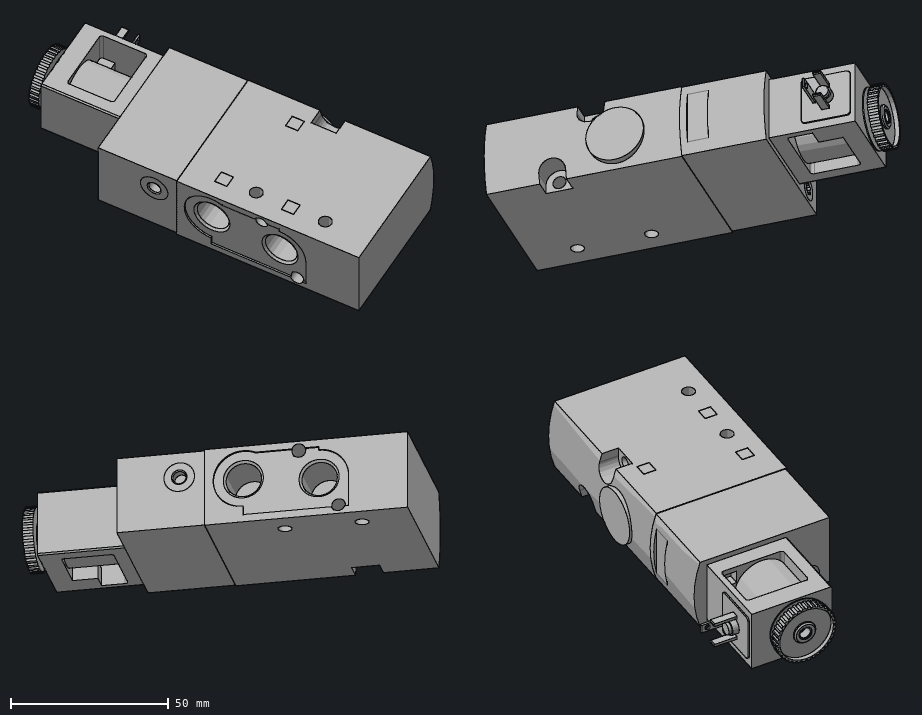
import cadquery as cq
import math


TOTAL_LENGTH = 129.2
KNOB_RIM_END_X = 3.5
SOLENOID_X = 5.3
PILOT_X = 34.5
BODY_X = 63.0

BODY_HEIGHT = 26.5
CROWN_EDGE_Y = 47.7
CROWN_Y = 49.9
PORT_X = (75.5, 100.2)
PORT_Z = (2.0, 0.0)
PORT_DIAMETER = 11.5
PORT_CHAMFER = 0.8
PORT_DEPTH = 15.5
SEAL_RADIUS = 9.7
SEAL_HALF_HEIGHT = 10.7
SEAL_DEPTH = 0.6
MOUNT_DIAMETER = 4.4
MOUNT_HOLES_XZ = ((93.6, 10.1), (106.5, -10.1))
NUT_SLOT_WIDTH = 9.0
NUT_SLOT_FLOOR_Y = 41.7
CROSS_HOLES_X = (87.5, 112.6)
CROSS_HOLES_Y = 8.0
BOSS_DIAMETER = 19.5
BOSS_X = 84.7
BOSS_Z = -1.7
BOSS_ROOT_Y = 45.2
BOSS_Y = 50.6
LABEL_SIZE = 4.4
LABEL_DEPTH = 0.1
LABELS_XY = ((76.0, CROSS_HOLES_Y), (100.1, CROSS_HOLES_Y), (BOSS_X, 39.0))

PILOT_HEIGHT = 26.0
PILOT_FRONT_Y = 0.4
PILOT_SLOT_X = 53.6
PILOT_SLOT_WIDTH = 7.1
PILOT_SLOT_FLOOR_Y = 48.8

BUTTON_X = 54.8
BUTTON_Z = 4.5
BUTTON_DIAMETER = 10.0
BUTTON_LENGTH = 5.2
BUTTON_HOLE_DIAMETER = 4.3
BUTTON_HOLE_DEPTH = 3.2
BUTTON_HOLE_CHAMFER = 0.4

SCREW_Y = 8.1
SCREW_Z = -7.7
SCREW_DIAMETER = 8.0
SCREW_LENGTH = 5.2
SOCKET_DEPTH = 2.0
SOCKET_CORE_DIAMETER = 3.2
SOCKET_LOBES = 6
SOCKET_LOBE_DIAMETER = 0.9
SOCKET_LOBE_OFFSET = 1.74

SOLENOID_FRONT_Y = 15.9
SOLENOID_BACK_Y = 45.2
SOLENOID_HEIGHT = 22.1
SOLENOID_CHAMFER = 0.5
COIL_AXIS_Y = 28.2
COIL_DIAMETER = 19.9
WINDOW_X = (12.1, 29.0)
WINDOW_Y = (20.5, 43.1)
WINDOW_FILLET = 1.0
LEDGE_END_X = 17.3
LEDGE_Y = 39.4
LEDGE_TOP_Z = 0.0
SILL_END_X = 20.4
SILL_Y = 37.5
SILL_TOP_Z = -5.2
POCKET_Y = (37.3, 42.2)
POCKET_Z = (4.5, 9.2)
POCKET_DEPTH = 3.9

PLATE_SIZE = 16.5
PLATE_THICKNESS = 0.5
PLATE_FILLET = 1.3
CONNECTOR_X = 15.1
POST_DIAMETER = 5.3
POST_Y = 48.0
POST_TIP_DIAMETER = 4.3
POST_TIP_Y = 49.2
PIN_WIDTH = 2.6
PIN_THICKNESS = 1.0
PIN_TIP_Y = 54.2
PIN_Z = 4.1
BLADE_X = 19.0
BLADE_WIDTH = 3.1
BLADE_THICKNESS = 0.8
BLADE_TIP_Y = 56.2
BLADE_HOLE_DIAMETER = 1.8
BLADE_HOLE_Y = 53.9
TERMINAL_TIP_CHAMFER = 0.32

KNOB_DIAMETER = 21.6
KNOB_TEETH = 36
KNURL_DIAMETER = 1.0
KNOB_RECESS_DIAMETER = 19.5
KNOB_RECESS_DEPTH = 1.5
KNOB_BOSS_DIAMETER = 7.9
KNOB_BOSS_HEIGHT = 1.0
KNOB_BOSS_CHAMFER = 0.5
KNOB_HOLE_DIAMETER = 3.7
KNOB_HOLE_DEPTH = 3.9
KNOB_MOUTH_DIAMETER = 4.6
KNOB_MOUTH_DEPTH = 0.9
KNOB_BORE_DIAMETER = 1.8
HUB_DIAMETER = 10.8
FLANGE_DIAMETER = 20.8
FLANGE_THICKNESS = 0.4


def block(x_range, y_range, z_range):
    """Box between two limits on each axis."""
    size = [high - low for low, high in (x_range, y_range, z_range)]
    return cq.Workplane("XY").box(*size, centered=False).translate((x_range[0], y_range[0], z_range[0]))


def rod_x(diameter, start, end, y, z):
    """Cylinder along X from start to end."""
    return cq.Workplane("YZ", origin=(start, y, z)).circle(diameter / 2).extrude(end - start)


def rod_y(diameter, start, end, x, z):
    """Cylinder along Y from start to end."""
    return cq.Workplane("XZ", origin=(x, start, z)).circle(diameter / 2).extrude(start - end)


def crowned_block(start, end, front, height):
    """Block with a flat front and a gently arched back."""
    half = height / 2
    return (
        cq.Workplane("YZ", origin=(start, 0, 0))
        .moveTo(front, -half)
        .lineTo(CROWN_EDGE_Y, -half)
        .threePointArc((CROWN_Y, 0), (CROWN_EDGE_Y, half))
        .lineTo(front, half)
        .close()
        .extrude(end - start)
    )


def seal_recess():
    """Shallow gasket recess that wraps round both ports."""
    first_x, second_x = PORT_X
    depth_range = (0, SEAL_DEPTH)
    recess = block((first_x, second_x), depth_range, (-SEAL_HALF_HEIGHT, SEAL_HALF_HEIGHT))
    recess = recess.union(block((second_x, second_x + SEAL_RADIUS), depth_range, (-SEAL_HALF_HEIGHT, 0)))
    for x, z in zip(PORT_X, PORT_Z):
        recess = recess.union(rod_y(2 * SEAL_RADIUS, 0, SEAL_DEPTH, x, z))
    return recess


def port(x, z):
    """Blind port with a chamfered mouth on the recess floor."""
    radius = PORT_DIAMETER / 2
    mouth_radius = radius + PORT_CHAMFER
    return (
        cq.Workplane("XY", origin=(x, 0, z))
        .moveTo(0, SEAL_DEPTH)
        .lineTo(mouth_radius, SEAL_DEPTH)
        .lineTo(radius, SEAL_DEPTH + PORT_CHAMFER)
        .lineTo(radius, PORT_DEPTH)
        .lineTo(0, PORT_DEPTH)
        .close()
        .revolve(360, (0, 0), (0, 1))
    )


def nut_slot(x, z):
    """Round-bottomed slot round the back of a mounting hole, open to the nearer of top and bottom."""
    half_width = NUT_SLOT_WIDTH / 2
    open_side = math.copysign(BODY_HEIGHT / 2, z)
    depth_range = (NUT_SLOT_FLOOR_Y, BOSS_Y)
    walls = block((x - half_width, x + half_width), depth_range, sorted((z, open_side)))
    return walls.union(rod_y(NUT_SLOT_WIDTH, *depth_range, x, z))


def make_valve_body():
    half = BODY_HEIGHT / 2
    body = crowned_block(BODY_X, TOTAL_LENGTH, 0, BODY_HEIGHT)
    body = body.union(rod_y(BOSS_DIAMETER, BOSS_ROOT_Y, BOSS_Y, BOSS_X, BOSS_Z))
    body = body.cut(seal_recess())
    for x, z in zip(PORT_X, PORT_Z):
        body = body.cut(port(x, z))
    for x, z in MOUNT_HOLES_XZ:
        body = body.cut(rod_y(MOUNT_DIAMETER, 0, BOSS_Y, x, z))
        body = body.cut(nut_slot(x, z))
    for x in CROSS_HOLES_X:
        hole = cq.Workplane("XY", origin=(x, CROSS_HOLES_Y, -half)).circle(MOUNT_DIAMETER / 2)
        body = body.cut(hole.extrude(BODY_HEIGHT))
    labels = cq.Workplane("XY", origin=(0, 0, half)).pushPoints(LABELS_XY).rect(LABEL_SIZE, LABEL_SIZE)
    return body.cut(labels.extrude(-LABEL_DEPTH))


def make_pilot_block():
    half = PILOT_HEIGHT / 2
    pilot = crowned_block(PILOT_X, BODY_X, PILOT_FRONT_Y, PILOT_HEIGHT)
    slot_range = (PILOT_SLOT_X, PILOT_SLOT_X + PILOT_SLOT_WIDTH)
    pilot = pilot.cut(block(slot_range, (PILOT_SLOT_FLOOR_Y, CROWN_Y), (-half, half)))
    button_seat = rod_y(BUTTON_DIAMETER, PILOT_FRONT_Y, PILOT_FRONT_Y + BUTTON_LENGTH, BUTTON_X, BUTTON_Z)
    screw_seat = rod_x(SCREW_DIAMETER, PILOT_X, PILOT_X + SCREW_LENGTH, SCREW_Y, SCREW_Z)
    return pilot.cut(button_seat).cut(screw_seat)


def make_override_button():
    button = rod_y(BUTTON_DIAMETER, PILOT_FRONT_Y, PILOT_FRONT_Y + BUTTON_LENGTH, BUTTON_X, BUTTON_Z)
    hole = rod_y(BUTTON_HOLE_DIAMETER, PILOT_FRONT_Y, PILOT_FRONT_Y + BUTTON_HOLE_DEPTH, BUTTON_X, BUTTON_Z)
    hole_rim = cq.selectors.RadiusNthSelector(0)
    return button.cut(hole).faces("<Y").edges(hole_rim).chamfer(BUTTON_HOLE_CHAMFER)


def make_screw():
    screw = rod_x(SCREW_DIAMETER, PILOT_X, PILOT_X + SCREW_LENGTH, SCREW_Y, SCREW_Z)
    socket_end = PILOT_X + SOCKET_DEPTH
    screw = screw.cut(rod_x(SOCKET_CORE_DIAMETER, PILOT_X, socket_end, SCREW_Y, SCREW_Z))
    for index in range(SOCKET_LOBES):
        angle = 2 * math.pi * index / SOCKET_LOBES
        y = SCREW_Y + SOCKET_LOBE_OFFSET * math.sin(angle)
        z = SCREW_Z + SOCKET_LOBE_OFFSET * math.cos(angle)
        screw = screw.cut(rod_x(SOCKET_LOBE_DIAMETER, PILOT_X, socket_end, y, z))
    return screw


def terminal(x, z, x_size, z_size, tip, tip_edges):
    """Flat terminal along Y with its two wide faces chamfered at the tip."""
    strip = block(
        (x - x_size / 2, x + x_size / 2), (SOLENOID_BACK_Y, tip), (z - z_size / 2, z + z_size / 2)
    )
    return strip.faces(">Y").edges(tip_edges).chamfer(TERMINAL_TIP_CHAMFER)


def make_connector():
    plate_y = SOLENOID_BACK_Y + PLATE_THICKNESS
    half = PLATE_SIZE / 2
    plate = block(
        (CONNECTOR_X - half, CONNECTOR_X + half), (SOLENOID_BACK_Y, plate_y), (-half, half)
    )
    connector = plate.edges("|Y").fillet(PLATE_FILLET)
    connector = connector.union(rod_y(POST_DIAMETER, SOLENOID_BACK_Y, POST_Y, CONNECTOR_X, 0))
    connector = connector.union(rod_y(POST_TIP_DIAMETER, SOLENOID_BACK_Y, POST_TIP_Y, CONNECTOR_X, 0))
    for z in (-PIN_Z, PIN_Z):
        connector = connector.union(terminal(CONNECTOR_X, z, PIN_WIDTH, PIN_THICKNESS, PIN_TIP_Y, "|X"))
    blade = terminal(BLADE_X, 0, BLADE_THICKNESS, BLADE_WIDTH, BLADE_TIP_Y, "|Z")
    hole_start = BLADE_X - BLADE_THICKNESS / 2
    blade = blade.cut(rod_x(BLADE_HOLE_DIAMETER, hole_start, hole_start + BLADE_THICKNESS, BLADE_HOLE_Y, 0))
    return connector.union(blade)


def make_solenoid():
    half = SOLENOID_HEIGHT / 2
    full_height = (-half, half)
    solenoid = block((SOLENOID_X, PILOT_X), (SOLENOID_FRONT_Y, SOLENOID_BACK_Y), full_height)
    solenoid = solenoid.faces("<Y").edges("|X").chamfer(SOLENOID_CHAMFER)
    solenoid = solenoid.cut(block(WINDOW_X, WINDOW_Y, full_height).edges("|Z").fillet(WINDOW_FILLET))
    solenoid = solenoid.union(rod_x(COIL_DIAMETER, *WINDOW_X, COIL_AXIS_Y, 0))
    window_left, window_right = WINDOW_X
    window_back = WINDOW_Y[1]
    ledge = block((window_left, LEDGE_END_X), (LEDGE_Y, window_back), (-half, LEDGE_TOP_Z))
    sill = block((window_left, SILL_END_X), (SILL_Y, window_back), (-half, SILL_TOP_Z))
    solenoid = solenoid.union(ledge).union(sill)
    solenoid = solenoid.cut(block((window_right, window_right + POCKET_DEPTH), POCKET_Y, POCKET_Z))
    return solenoid.union(make_connector())


def make_knob():
    def disc(diameter, start, end):
        return rod_x(diameter, start, end, COIL_AXIS_Y, 0)

    knob = disc(KNOB_DIAMETER, 0, KNOB_RIM_END_X)
    for index in range(KNOB_TEETH):
        angle = 2 * math.pi * index / KNOB_TEETH
        y = COIL_AXIS_Y + KNOB_DIAMETER / 2 * math.cos(angle)
        z = KNOB_DIAMETER / 2 * math.sin(angle)
        knob = knob.cut(rod_x(KNURL_DIAMETER, 0, KNOB_RIM_END_X, y, z))
    knob = knob.cut(disc(KNOB_RECESS_DIAMETER, 0, KNOB_RECESS_DEPTH))
    boss = disc(KNOB_BOSS_DIAMETER, KNOB_RECESS_DEPTH - KNOB_BOSS_HEIGHT, KNOB_RIM_END_X)
    knob = knob.union(boss.faces("<X").chamfer(KNOB_BOSS_CHAMFER))
    knob = knob.union(disc(HUB_DIAMETER, KNOB_RIM_END_X, SOLENOID_X))
    knob = knob.union(disc(FLANGE_DIAMETER, SOLENOID_X - FLANGE_THICKNESS, SOLENOID_X))
    knob = knob.cut(disc(KNOB_MOUTH_DIAMETER, 0, KNOB_MOUTH_DEPTH))
    knob = knob.cut(disc(KNOB_HOLE_DIAMETER, 0, KNOB_HOLE_DEPTH))
    return knob.cut(disc(KNOB_BORE_DIAMETER, 0, SOLENOID_X))


valve_body = make_valve_body()
pilot_block = make_pilot_block()
override_button = make_override_button()
screw = make_screw()
solenoid = make_solenoid()
knob = make_knob()

result = cq.Compound.makeCompound(
    [
        valve_body.val(),
        pilot_block.val(),
        override_button.val(),
        screw.val(),
        solenoid.val(),
        knob.val(),
    ]
)